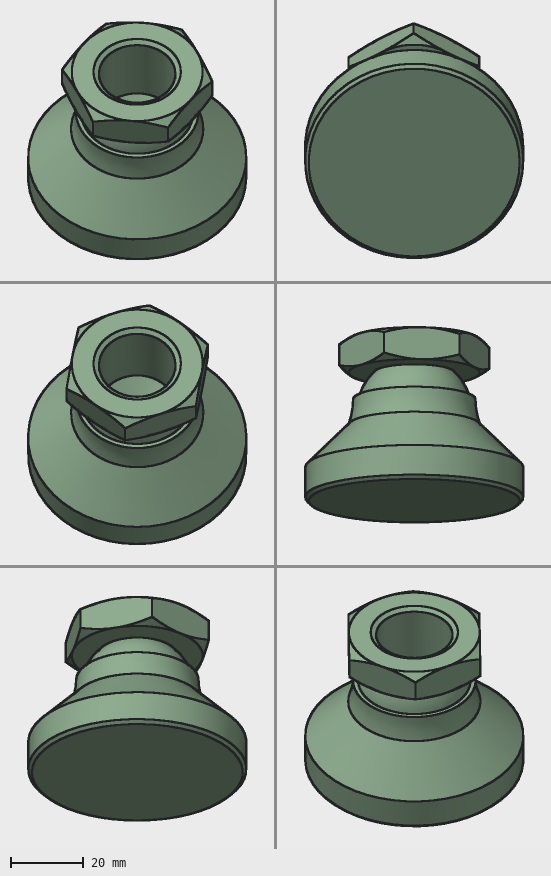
import cadquery as cq
import math

foot_radius = 30.0
foot_rim_top = 9.35
bottom_chamfer = 1.0
collar_bottom_radius = 18.2
collar_top_radius = 16.85
collar_top = 28.5
collar_bottom = foot_rim_top + foot_radius - collar_bottom_radius

ball_radius = 16.0
ball_center_height = 24.4

head_bottom = 36.0
head_height = 9.0
head_top = head_bottom + head_height
across_flats = 36.0
flat_radius = across_flats / 2
corner_radius = flat_radius / math.cos(math.radians(30))
head_bevel_angle = 30.0
bevel_drop = (corner_radius - flat_radius) * math.tan(math.radians(head_bevel_angle))

bore_radius = 10.5
bore_mouth_radius = 12.0
countersink_angle = 30.0
bore_depth = 21.0
drill_tip_angle = 118.0


def make_ball():
    return cq.Workplane("XY").sphere(ball_radius).translate((0, 0, ball_center_height))


def make_foot():
    """Revolved foot with a concave collar that is vertical at its top edge."""
    flare = collar_bottom_radius - collar_top_radius
    collar_height = collar_top - collar_bottom
    arc_radius = (collar_height**2 + flare**2) / (2 * flare)
    half_sweep = math.asin(collar_height / arc_radius) / 2
    collar_middle = (
        collar_top_radius + arc_radius * (1 - math.cos(half_sweep)),
        collar_top - arc_radius * math.sin(half_sweep),
    )
    blank = (
        cq.Workplane("XZ")
        .moveTo(0, 0)
        .lineTo(foot_radius - bottom_chamfer, 0)
        .lineTo(foot_radius, bottom_chamfer)
        .lineTo(foot_radius, foot_rim_top)
        .lineTo(collar_bottom_radius, collar_bottom)
        .threePointArc(collar_middle, (collar_top_radius, collar_top))
        .lineTo(0, collar_top)
        .close()
        .revolve(360, (0, 0), (0, 1))
    )
    return blank.cut(make_ball())


def make_hex_head():
    """Hexagon with two corners on the Y axis, bevelled at both ends."""
    hexagon = (
        cq.Workplane("XY")
        .workplane(offset=head_bottom)
        .transformed(rotate=(0, 0, 90))
        .polygon(6, 2 * corner_radius)
        .extrude(head_height)
    )
    bevel_envelope = (
        cq.Workplane("XZ")
        .moveTo(0, head_bottom)
        .lineTo(flat_radius, head_bottom)
        .lineTo(corner_radius, head_bottom + bevel_drop)
        .lineTo(corner_radius, head_top - bevel_drop)
        .lineTo(flat_radius, head_top)
        .lineTo(0, head_top)
        .close()
        .revolve(360, (0, 0), (0, 1))
    )
    return hexagon.intersect(bevel_envelope)


def make_bore():
    countersink_width = bore_mouth_radius - bore_radius
    countersink_depth = countersink_width * math.tan(math.radians(countersink_angle))
    tip_depth = bore_radius / math.tan(math.radians(drill_tip_angle / 2))
    bore_floor = head_top - bore_depth
    return (
        cq.Workplane("XZ")
        .moveTo(0, head_top)
        .lineTo(bore_mouth_radius, head_top)
        .lineTo(bore_radius, head_top - countersink_depth)
        .lineTo(bore_radius, bore_floor)
        .lineTo(0, bore_floor - tip_depth)
        .close()
        .revolve(360, (0, 0), (0, 1))
    )


def make_ball_nut():
    """Ball trimmed flush with the underside of the hexagonal head, joined to it and bored."""
    above_ball = cq.Workplane("XY").workplane(offset=head_bottom).circle(ball_radius).extrude(ball_radius)
    trimmed_ball = make_ball().cut(above_ball)
    return trimmed_ball.union(make_hex_head()).cut(make_bore())


foot = make_foot()
ball_nut = make_ball_nut()

result = cq.Compound.makeCompound([foot.solids().val(), ball_nut.solids().val()])